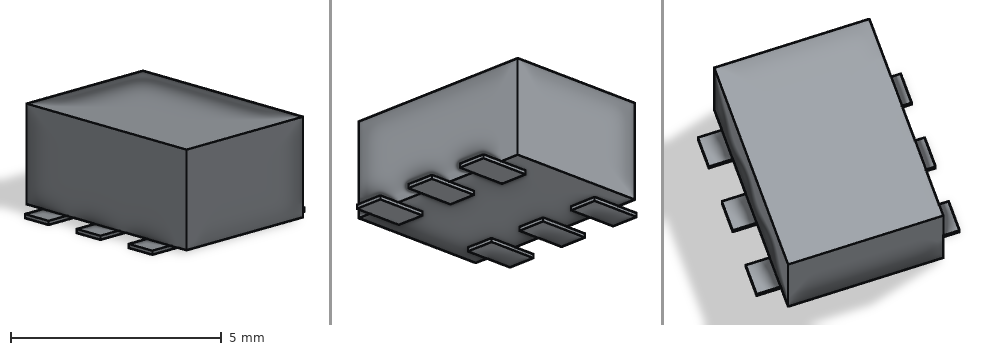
import cadquery as cq

body_length = 5.4
overall_width = 5.1
overall_height = 2.6

body_width = 3.9
lead_thickness = 0.1
lead_width = 0.8
lead_length = 1.4
lead_pitch = 1.75
leads_per_side = 3

body_height = overall_height - lead_thickness
lead_center_y = (overall_width - lead_length) / 2


def make_housing():
    """Plain block resting on top of the leads."""
    return (
        cq.Workplane("XY")
        .workplane(offset=lead_thickness)
        .box(body_length, body_width, body_height, centered=(True, True, False))
    )


def make_lead(x, y):
    """Flat lead centred at (x, y), with its underside at Z = 0."""
    return (
        cq.Workplane("XY")
        .center(x, y)
        .box(lead_width, lead_length, lead_thickness, centered=(True, True, False))
    )


housing = make_housing()

leads = []
for side in (-1, 1):
    for index in range(leads_per_side):
        lead_x = (index - (leads_per_side - 1) / 2) * lead_pitch
        leads.append(make_lead(lead_x, side * lead_center_y))

result = cq.Compound.makeCompound([housing.val(), *[lead.val() for lead in leads]])